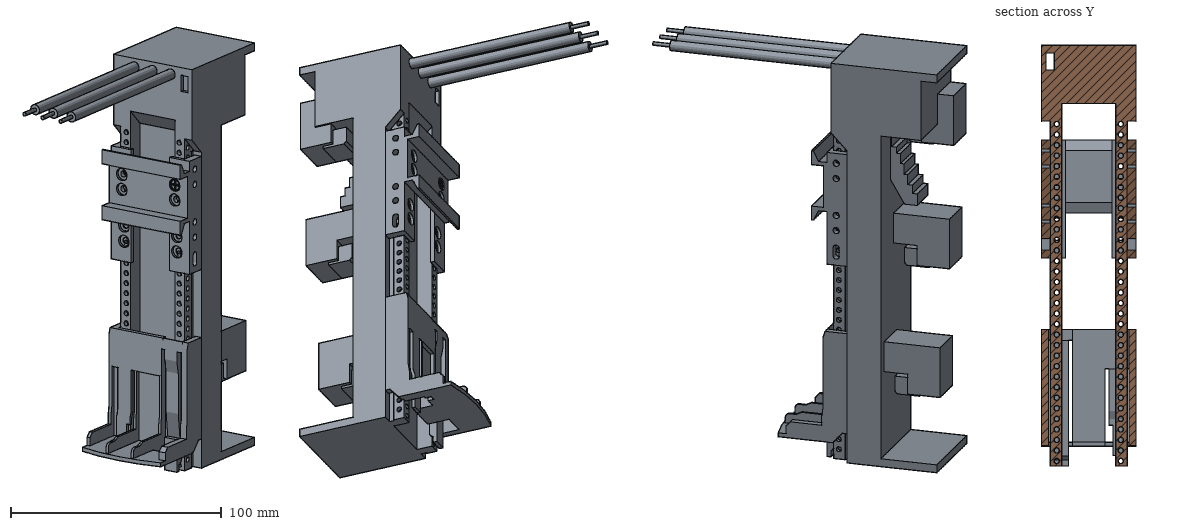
import cadquery as cq
import math


WIDTH = 45.0
HEIGHT = 200.0
HALF_WIDTH = WIDTH / 2
REAR_Y = 53.0
BLOCK_REAR_Y = 45.0
COLUMN_REAR_Y = 25.0
BLOCK_BOTTOM_Z = 166.2
FLANGE_THICKNESS = 4.0

RAIL_DEPTH = 8.0
RAIL_INNER_X = 12.8
RAIL_OUTER_X = 18.5
CENTRE_RECESS_TOP_Z = 173.5
SIDE_RECESS_TOP_Z = 165.0
GRIP_GROOVE_DEPTH = 0.8
GRIP_GROOVE_WIDTH = 2.5
GRIP_GROOVE_TOP_Z = 157.2

PERFORATION_DIAMETER = 2.5
PERFORATION_PITCH = 5.0
PERFORATION_DEPTH = 2.5
PERFORATION_ROWS = 33
PERFORATION_X = 15.2
PERFORATION_Y = 2.5

MARK_LEFT_X = 16.5
MARK_WIDTH = 3.8
MARK_BOTTOM_Z = 188.2
MARK_HEIGHT = 8.0
MARK_DEPTH = 2.0

HOOK_LEFT_XS = (-21.5, -15.5, -1.2)
HOOK_WIDTH = 18.8
HOOK_TOP_Z = 181.2
HOOK_PITCH = 60.0
HOOK_HEIGHT = 25.0
HOOK_ARM_HEIGHT = 15.0
HOOK_LIP_Y = 36.8
FOOT_INSET = 2.0
FOOT_REAR_Y = 42.0
FOOT_FRONT_Y = 29.8
FOOT_HEIGHT = 8.8
FOOT_DROP = 1.2
FOOT_CHAMFER = 1.2

LEVER_WIDTH = 16.0
LEVER_STEPS = (
    (25.5, 162.0),
    (28.0, 156.2),
    (30.0, 153.2),
    (31.8, 148.2),
    (33.5, 143.0),
    (36.0, 138.0),
    (38.5, 133.8),
)
LEVER_BOTTOM_Z = 128.0
LEVER_TIP_Y = 32.0
LEVER_HEEL_Z = 139.5

CABLE_SPACING = 10.5
CABLE_Z = 195.8
CABLE_DIAMETER = 5.0
CABLE_LENGTH = 84.0
CORE_DIAMETER = 1.8
CORE_LENGTH = 9.0

PLATE_TOP_Z = 155.0
PLATE_BOTTOM_Z = 98.8
PLATE_FRONT_Y = -2.0
PAD_FRONT_Y = -3.8
LEG_GAP_X = 11.0
LIP_CENTRE_Z = 137.5
LIP_INNER_OFFSET = 10.5
LIP_OUTER_OFFSET = 12.5
LIP_TIP_OFFSET = 17.5
LIP_NECK_Y = -6.2
LIP_EDGE_Y = -8.8
LIP_FRONT_Y = -9.8
SCREW_HOLE_ZS = (142.5, 135.0, 116.5, 108.8)
HEAD_DIAMETER = 6.0
SHANK_DIAMETER = 3.0
HEAD_SEAT_DEPTH = 1.5
HEAD_SEAT_Y = PAD_FRONT_Y + HEAD_SEAT_DEPTH
SIDE_HOLE_Y = 2.5
SIDE_HOLE_ZS = (150.0, 142.5, 123.8, 116.2)
SIDE_SLOT_Z = 105.5
SIDE_SLOT_LENGTH = 7.0

SCREW_HEAD_Y = -3.5
SCREW_CHAMFER = 0.5
CROSS_LENGTH = 4.0
CROSS_WIDTH = 0.8
CROSS_DEPTH = 1.0

BRACKET_TOP_Z = 65.0
BRACKET_FRONT_Y = -4.0
WALL_REAR_Y = -0.5
BRACKET_BEVEL_Y = -3.0
BRACKET_BEVEL_Z = 61.8
BULGE_FRONT_Y = -4.5
BULGE_TOP_Z = 26.2
BULGE_FULL_Z = 22.5
SKIRT_BOTTOM_Z = 14.5
SKIRT_INNER_X = 19.0
SKIRT_BEVEL_REAR_Y = 5.5
SKIRT_BEVEL_FRONT_Y = 1.0
SHELF_BOTTOM_Z = 9.5
SHELF_THICKNESS = 2.0
SHELF_TOP_Z = SHELF_BOTTOM_Z + SHELF_THICKNESS
SHELF_CORNER_Y = -26.5
SHELF_FRONT_Y = -29.2
ARM_TOP_Z = 17.5
OUTER_ARM_END_Y = -22.5
OUTER_ARM_CURVE_Y = -20.5
OUTER_ARM_END_Z = 15.5
INNER_ARM_SLOPE_Y = (-19.5, -22.5)
INNER_ARM_NOSE_Z = 16.2
INNER_ARM_END_Y = -27.8
INNER_ARM_NOSE_RADIUS = 2.0
RIB_INNER_X = 6.5
RIB_OUTER_X = 7.8
LEFT_RIB_X = -20.8
WINDOW_TOP_Z = 46.2
WINDOW_FLOOR_Y = -2.0

LEFT_TONGUE_FRONT_Y = -5.2
LEFT_TONGUE_X = (-17.2, -9.5)
LEFT_TONGUE_TIP_X = -11.5
LEFT_TONGUE_STEP_Z = 19.5
LEFT_TONGUE_BOTTOM_Z = 5.0
LEFT_TONGUE_THICKNESS = 1.5

RIGHT_TONGUE_X = (9.5, 16.5)
RIGHT_TONGUE_TOP_Z = 59.8
TONGUE_POCKET_Y = -2.8
RIGHT_TONGUE_REAR_Y = 0
RIGHT_TONGUE_WAIST_Y = -2.8
RIGHT_TONGUE_NECK_Y = -1.5
RIGHT_TONGUE_SLOPE_Z = (54.8, 48.8)
RIGHT_TONGUE_BEND_Z = 28.5
RIGHT_TONGUE_LEDGE_Z = 16.2
RIGHT_TONGUE_BLADE_Y = -2.0
RIGHT_TONGUE_BLADE_Z = (3.0, 4.8)
RIGHT_TONGUE_BEND_RADIUS = 5.0

LEFT_OPENING_Y = -10.0
RIGHT_OPENING_Y = -11.2
RELEASE_NOTCH_X = (-15.8, -13.0)
RELEASE_NOTCH_Y = -13.0


def box(x_range, y_range, z_range):
    """Block between three pairs of limits."""
    size = [high - low for low, high in (sorted(x_range), sorted(y_range), sorted(z_range))]
    corner = cq.Vector(min(x_range), min(y_range), min(z_range))
    return cq.Workplane(cq.Solid.makeBox(*size, corner))


def side_profile(points, x_range):
    """Prism of a (Y, Z) outline between two X limits."""
    left, right = x_range
    return cq.Workplane("YZ", origin=(left, 0, 0)).polyline(points).close().extrude(right - left)


def rod_along_y(x, z, diameter, y_start, y_end):
    """Cylinder parallel to Y."""
    start = cq.Vector(x, y_start, z)
    direction = cq.Vector(0, y_end - y_start, 0)
    return cq.Workplane(cq.Solid.makeCylinder(diameter / 2, abs(y_end - y_start), start, direction))


def rod_along_x(y, z, diameter, x_start, x_end):
    """Cylinder parallel to X."""
    start = cq.Vector(x_start, y, z)
    direction = cq.Vector(x_end - x_start, 0, 0)
    return cq.Workplane(cq.Solid.makeCylinder(diameter / 2, abs(x_end - x_start), start, direction))


def cut_all(body, tools):
    """Remove every tool from the body in one operation."""
    return cq.Workplane(body.val().cut(*[tool.val() for tool in tools]))


def housing_shell():
    outline = [
        (0, 0),
        (REAR_Y, 0),
        (REAR_Y, FLANGE_THICKNESS),
        (COLUMN_REAR_Y, FLANGE_THICKNESS),
        (COLUMN_REAR_Y, BLOCK_BOTTOM_Z),
        (BLOCK_REAR_Y, BLOCK_BOTTOM_Z),
        (BLOCK_REAR_Y, HEIGHT - FLANGE_THICKNESS),
        (REAR_Y, HEIGHT - FLANGE_THICKNESS),
        (REAR_Y, HEIGHT),
        (0, HEIGHT),
    ]
    return side_profile(outline, (-HALF_WIDTH, HALF_WIDTH))


def rail_recess(x_range, top_z):
    """Recess open at the foot, with a 45 degree roof."""
    outline = [(0, 0), (RAIL_DEPTH, 0), (RAIL_DEPTH, top_z - RAIL_DEPTH), (0, top_z)]
    return side_profile(outline, x_range)


def rail_recesses():
    recesses = [rail_recess((-RAIL_INNER_X, RAIL_INNER_X), CENTRE_RECESS_TOP_Z)]
    for side in (-1, 1):
        outer_limits = sorted((side * RAIL_OUTER_X, side * HALF_WIDTH))
        recesses.append(rail_recess(outer_limits, SIDE_RECESS_TOP_Z))
        groove_limits = (side * (RAIL_OUTER_X - GRIP_GROOVE_DEPTH), side * RAIL_OUTER_X)
        groove_depths = (RAIL_DEPTH - GRIP_GROOVE_WIDTH, RAIL_DEPTH)
        recesses.append(box(groove_limits, groove_depths, (0, GRIP_GROOVE_TOP_Z)))
    return recesses


def perforations():
    """Blind holes in the fronts and outer flanks of both rails, staggered by half a pitch."""
    holes = []
    for side in (-1, 1):
        flank_x = side * RAIL_OUTER_X
        flank_end_x = side * (RAIL_OUTER_X - PERFORATION_DEPTH)
        for row in range(PERFORATION_ROWS):
            front_z = (row + 0.5) * PERFORATION_PITCH
            holes.append(
                rod_along_y(side * PERFORATION_X, front_z, PERFORATION_DIAMETER, 0, PERFORATION_DEPTH)
            )
            if row > 0:
                flank_z = row * PERFORATION_PITCH
                holes.append(
                    rod_along_x(PERFORATION_Y, flank_z, PERFORATION_DIAMETER, flank_x, flank_end_x)
                )
    return holes


def marking_window():
    return box(
        (MARK_LEFT_X, MARK_LEFT_X + MARK_WIDTH),
        (0, MARK_DEPTH),
        (MARK_BOTTOM_Z, MARK_BOTTOM_Z + MARK_HEIGHT),
    )


def busbar_hook(left_x, top_z):
    """Arm with a hanging lip and a contact foot in front of the lip."""
    right_x = left_x + HOOK_WIDTH
    bottom_z = top_z - HOOK_HEIGHT
    arm_bottom_z = top_z - HOOK_ARM_HEIGHT
    outline = [
        (COLUMN_REAR_Y, top_z),
        (REAR_Y, top_z),
        (REAR_Y, bottom_z),
        (HOOK_LIP_Y, bottom_z),
        (HOOK_LIP_Y, arm_bottom_z),
        (COLUMN_REAR_Y, arm_bottom_z),
    ]
    foot = box(
        (left_x + FOOT_INSET, right_x - FOOT_INSET),
        (FOOT_FRONT_Y, FOOT_REAR_Y),
        (bottom_z - FOOT_DROP, bottom_z - FOOT_DROP + FOOT_HEIGHT),
    )
    foot = foot.edges("|X and <Y and <Z").chamfer(FOOT_CHAMFER)
    return side_profile(outline, (left_x, right_x)).union(foot)


def release_lever():
    outline = [(COLUMN_REAR_Y, LEVER_STEPS[0][1])]
    for index, (rear_y, top_z) in enumerate(LEVER_STEPS):
        next_z = LEVER_STEPS[index + 1][1] if index + 1 < len(LEVER_STEPS) else LEVER_BOTTOM_Z
        outline += [(rear_y, top_z), (rear_y, next_z)]
    outline += [(LEVER_TIP_Y, LEVER_BOTTOM_Z), (COLUMN_REAR_Y, LEVER_HEEL_Z)]
    return side_profile(outline, (-LEVER_WIDTH / 2, LEVER_WIDTH / 2))


def make_housing():
    body = housing_shell()
    for index, left_x in enumerate(HOOK_LEFT_XS):
        body = body.union(busbar_hook(left_x, HOOK_TOP_Z - index * HOOK_PITCH))
    body = body.union(release_lever())
    body = cut_all(body, rail_recesses())
    return cut_all(body, perforations() + [marking_window()])


def make_cable(x):
    """Insulated cable standing on the housing front, with its core bared at the end."""
    sheath = rod_along_y(x, CABLE_Z, CABLE_DIAMETER, 0, -CABLE_LENGTH)
    core = rod_along_y(x, CABLE_Z, CORE_DIAMETER, -CABLE_LENGTH, -CABLE_LENGTH - CORE_LENGTH)
    return sheath.union(core)


def plate_lip(direction):
    """Hooked lip across the plate; direction is +1 for the upper lip and -1 for the lower one."""
    inner_z, outer_z, tip_z = [
        LIP_CENTRE_Z + direction * offset
        for offset in (LIP_INNER_OFFSET, LIP_OUTER_OFFSET, LIP_TIP_OFFSET)
    ]
    outline = [
        (PLATE_FRONT_Y, inner_z),
        (LIP_FRONT_Y, inner_z),
        (LIP_FRONT_Y, tip_z),
        (LIP_EDGE_Y, tip_z),
        (LIP_NECK_Y, outer_z),
        (PLATE_FRONT_Y, outer_z),
    ]
    return side_profile(outline, (-HALF_WIDTH, HALF_WIDTH))


def plate_blank():
    """Two skirted legs bridged by a raised pad with two lips."""
    pad_bottom_z = LIP_CENTRE_Z - LIP_OUTER_OFFSET
    pad_top_z = LIP_CENTRE_Z + LIP_OUTER_OFFSET
    full_width = (-HALF_WIDTH, HALF_WIDTH)
    leg_gap = (-LEG_GAP_X, LEG_GAP_X)
    blank = box(full_width, (PLATE_FRONT_Y, 0), (PLATE_BOTTOM_Z, PLATE_TOP_Z))
    blank = blank.cut(box(leg_gap, (PLATE_FRONT_Y, 0), (PLATE_BOTTOM_Z, PLATE_TOP_Z)))
    blank = blank.union(box(full_width, (PAD_FRONT_Y, PLATE_FRONT_Y), (pad_bottom_z, pad_top_z)))
    for side in (-1, 1):
        skirt_limits = (side * RAIL_OUTER_X, side * HALF_WIDTH)
        blank = blank.union(box(skirt_limits, (0, RAIL_DEPTH), (PLATE_BOTTOM_Z, PLATE_TOP_Z)))
        blank = blank.union(plate_lip(side))
    return blank


def plate_screw_holes():
    holes = []
    for x in (-PERFORATION_X, PERFORATION_X):
        for z in SCREW_HOLE_ZS:
            holes.append(rod_along_y(x, z, SHANK_DIAMETER, 0, PAD_FRONT_Y))
            on_pad = abs(z - LIP_CENTRE_Z) < LIP_INNER_OFFSET
            surface_y = PAD_FRONT_Y if on_pad else PLATE_FRONT_Y
            holes.append(rod_along_y(x, z, HEAD_DIAMETER, surface_y + HEAD_SEAT_DEPTH, PAD_FRONT_Y))
    return holes


def plate_side_holes():
    holes = []
    for side in (-1, 1):
        outer_x = side * HALF_WIDTH
        inner_x = side * RAIL_OUTER_X
        for z in SIDE_HOLE_ZS:
            holes.append(rod_along_x(SIDE_HOLE_Y, z, SHANK_DIAMETER, outer_x, inner_x))
        slot = (
            cq.Workplane("YZ", origin=(inner_x, SIDE_HOLE_Y, SIDE_SLOT_Z))
            .slot2D(SIDE_SLOT_LENGTH, SHANK_DIAMETER, 90)
            .extrude(outer_x - inner_x)
        )
        holes.append(slot)
    return holes


def make_plate():
    return cut_all(plate_blank(), plate_screw_holes() + plate_side_holes())


def make_screw():
    """Cross-recessed screw seated in the upper right hole of the plate."""
    z = SCREW_HOLE_ZS[0]
    head = rod_along_y(PERFORATION_X, z, HEAD_DIAMETER, HEAD_SEAT_Y, SCREW_HEAD_Y)
    head = head.faces("<Y").edges().chamfer(SCREW_CHAMFER)
    shank = rod_along_y(PERFORATION_X, z, SHANK_DIAMETER, 0, HEAD_SEAT_Y)
    screw = head.union(shank)
    recess_depths = (SCREW_HEAD_Y, SCREW_HEAD_Y + CROSS_DEPTH)
    for length_x, length_z in ((CROSS_LENGTH, CROSS_WIDTH), (CROSS_WIDTH, CROSS_LENGTH)):
        x_limits = (PERFORATION_X - length_x / 2, PERFORATION_X + length_x / 2)
        z_limits = (z - length_z / 2, z + length_z / 2)
        screw = screw.cut(box(x_limits, recess_depths, z_limits))
    return screw


def bracket_wall():
    """Front wall with a bevelled top and a thicker foot."""
    outline = [
        (WALL_REAR_Y, SHELF_BOTTOM_Z),
        (WALL_REAR_Y, BRACKET_TOP_Z),
        (BRACKET_BEVEL_Y, BRACKET_TOP_Z),
        (BRACKET_FRONT_Y, BRACKET_BEVEL_Z),
        (BRACKET_FRONT_Y, BULGE_TOP_Z),
        (BULGE_FRONT_Y, BULGE_FULL_Z),
        (BULGE_FRONT_Y, SHELF_BOTTOM_Z),
    ]
    return side_profile(outline, (-HALF_WIDTH, HALF_WIDTH))


def bracket_skirt(side):
    """Flank that reaches back beside the rail."""
    outline = [
        (WALL_REAR_Y, SHELF_BOTTOM_Z),
        (SKIRT_BEVEL_FRONT_Y, SHELF_BOTTOM_Z),
        (SKIRT_BEVEL_REAR_Y, SKIRT_BOTTOM_Z),
        (RAIL_DEPTH, SKIRT_BOTTOM_Z),
        (RAIL_DEPTH, BRACKET_TOP_Z),
        (WALL_REAR_Y, BRACKET_TOP_Z),
    ]
    return side_profile(outline, sorted((side * SKIRT_INNER_X, side * HALF_WIDTH)))


def shelf():
    """Shelf with a bowed front edge."""
    return (
        cq.Workplane("XY", origin=(0, 0, SHELF_BOTTOM_Z))
        .moveTo(-HALF_WIDTH, 0)
        .lineTo(-HALF_WIDTH, SHELF_CORNER_Y)
        .threePointArc((0, SHELF_FRONT_Y), (HALF_WIDTH, SHELF_CORNER_Y))
        .lineTo(HALF_WIDTH, 0)
        .close()
        .extrude(SHELF_THICKNESS)
    )


def outer_arm(x_range):
    """Short arm along a side edge of the shelf."""
    outline = [
        (BULGE_FRONT_Y, SHELF_TOP_Z),
        (BULGE_FRONT_Y, ARM_TOP_Z),
        (OUTER_ARM_CURVE_Y, ARM_TOP_Z),
        (OUTER_ARM_END_Y, OUTER_ARM_END_Z),
        (OUTER_ARM_END_Y, SHELF_TOP_Z),
    ]
    return side_profile(outline, x_range)


def inner_arm(x_range):
    """Long arm in the middle of the shelf, with a lowered and rounded nose."""
    slope_start_y, slope_end_y = INNER_ARM_SLOPE_Y
    outline = [
        (BULGE_FRONT_Y, SHELF_TOP_Z),
        (BULGE_FRONT_Y, ARM_TOP_Z),
        (slope_start_y, ARM_TOP_Z),
        (slope_end_y, INNER_ARM_NOSE_Z),
        (INNER_ARM_END_Y, INNER_ARM_NOSE_Z),
        (INNER_ARM_END_Y, SHELF_TOP_Z),
    ]
    return side_profile(outline, x_range).faces("<Y").edges(">Z").fillet(INNER_ARM_NOSE_RADIUS)


def left_tongue():
    """Spring tongue hanging from the wall, following its thicker foot."""
    thickness = LEFT_TONGUE_THICKNESS
    outline = [
        (BRACKET_FRONT_Y, WINDOW_TOP_Z),
        (BRACKET_FRONT_Y, BULGE_TOP_Z),
        (LEFT_TONGUE_FRONT_Y, BULGE_FULL_Z),
        (LEFT_TONGUE_FRONT_Y, LEFT_TONGUE_BOTTOM_Z),
        (LEFT_TONGUE_FRONT_Y + thickness, LEFT_TONGUE_BOTTOM_Z),
        (LEFT_TONGUE_FRONT_Y + thickness, BULGE_FULL_Z),
        (BRACKET_FRONT_Y + thickness, BULGE_TOP_Z),
        (BRACKET_FRONT_Y + thickness, WINDOW_TOP_Z),
    ]
    tongue = side_profile(outline, LEFT_TONGUE_X)
    tip_relief = box(
        (LEFT_TONGUE_TIP_X, LEFT_TONGUE_X[1]),
        (LEFT_TONGUE_FRONT_Y, 0),
        (LEFT_TONGUE_BOTTOM_Z, LEFT_TONGUE_STEP_Z),
    )
    return tongue.cut(tip_relief)


def right_tongue():
    """Long spring tongue with a waist, a ledge and a thin blade at its lower end."""
    slope_top_z, slope_bottom_z = RIGHT_TONGUE_SLOPE_Z
    blade_top_z, shoulder_z = RIGHT_TONGUE_BLADE_Z
    outline = [
        (BRACKET_FRONT_Y, RIGHT_TONGUE_TOP_Z),
        (BRACKET_FRONT_Y, slope_top_z),
        (RIGHT_TONGUE_WAIST_Y, slope_bottom_z),
        (RIGHT_TONGUE_WAIST_Y, RIGHT_TONGUE_BEND_Z),
        (RIGHT_TONGUE_NECK_Y, RIGHT_TONGUE_LEDGE_Z),
        (BRACKET_FRONT_Y, RIGHT_TONGUE_LEDGE_Z),
        (BRACKET_FRONT_Y, 0),
        (RIGHT_TONGUE_BLADE_Y, 0),
        (RIGHT_TONGUE_BLADE_Y, blade_top_z),
        (RIGHT_TONGUE_REAR_Y, shoulder_z),
        (RIGHT_TONGUE_REAR_Y, RIGHT_TONGUE_TOP_Z),
    ]
    tongue = side_profile(outline, RIGHT_TONGUE_X)
    middle_x = sum(RIGHT_TONGUE_X) / 2
    bends = ((BRACKET_FRONT_Y, slope_top_z), (RIGHT_TONGUE_WAIST_Y, slope_bottom_z))
    for y, z in bends:
        bend = cq.selectors.NearestToPointSelector((middle_x, y, z))
        tongue = tongue.edges("|X").edges(bend).fillet(RIGHT_TONGUE_BEND_RADIUS)
    return tongue


def wall_openings():
    """Clearance around and above the tongues, the flat window and the recess beside the left arm."""
    wall_depths = (BULGE_FRONT_Y, WALL_REAR_Y)
    low_zs = (SHELF_BOTTOM_Z, WINDOW_TOP_Z)
    return [
        box((-SKIRT_INNER_X, -RIB_OUTER_X), wall_depths, low_zs),
        box((LEFT_RIB_X, -SKIRT_INNER_X), (BULGE_FRONT_Y, WINDOW_FLOOR_Y), (SHELF_TOP_Z, WINDOW_TOP_Z)),
        box((-RIB_INNER_X, RIB_INNER_X), (BULGE_FRONT_Y, WINDOW_FLOOR_Y), (SHELF_TOP_Z, WINDOW_TOP_Z)),
        box((RIB_OUTER_X, SKIRT_INNER_X), wall_depths, (SHELF_BOTTOM_Z, RIGHT_TONGUE_TOP_Z)),
        box((RIB_OUTER_X, SKIRT_INNER_X), (TONGUE_POCKET_Y, WALL_REAR_Y), (RIGHT_TONGUE_TOP_Z, BRACKET_TOP_Z)),
    ]


def shelf_openings():
    shelf_zs = (SHELF_BOTTOM_Z, SHELF_TOP_Z)
    return [
        box((LEFT_TONGUE_X[0], -RIB_OUTER_X), (LEFT_OPENING_Y, 0), shelf_zs),
        box(RELEASE_NOTCH_X, (RELEASE_NOTCH_Y, 0), shelf_zs),
        box((RIB_OUTER_X, SKIRT_INNER_X), (RIGHT_OPENING_Y, 0), shelf_zs),
    ]


def make_bracket():
    wall = bracket_wall().union(bracket_skirt(-1)).union(bracket_skirt(1))
    wall = cut_all(wall, wall_openings())
    base = cut_all(shelf(), shelf_openings())
    bracket = wall.union(base)
    bracket = bracket.union(outer_arm((-HALF_WIDTH, LEFT_RIB_X)))
    bracket = bracket.union(outer_arm((SKIRT_INNER_X, HALF_WIDTH)))
    for side in (-1, 1):
        bracket = bracket.union(inner_arm(sorted((side * RIB_INNER_X, side * RIB_OUTER_X))))
    return bracket.union(left_tongue()).union(right_tongue())


housing = make_housing()
cables = [make_cable(step * CABLE_SPACING) for step in (-1, 0, 1)]
plate = make_plate()
screw = make_screw()
bracket = make_bracket()

result = cq.Compound.makeCompound(
    [housing.val(), *[cable.val() for cable in cables], plate.val(), screw.val(), bracket.val()]
)